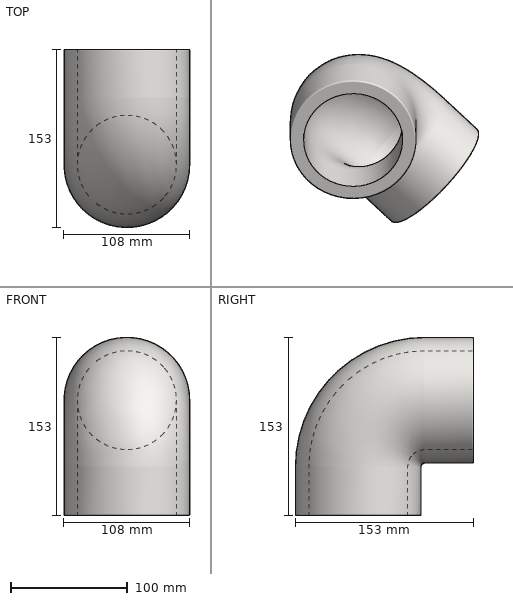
import cadquery as cq

overall = 153.0
outer_diameter = 108.0
bore_diameter = 84.9
end_length = 41.8
end_edge_break = 1.2

outer_radius = outer_diameter / 2
bend_radius = overall - end_length - outer_radius


def swept_elbow(diameter):
    """Solid round bar: straight up, 90 degree bend, then straight along +Y."""
    lower_leg = cq.Workplane("XY").circle(diameter / 2).extrude(end_length)
    bend = (
        cq.Workplane("XY", origin=(0, 0, end_length))
        .circle(diameter / 2)
        .revolve(90, (1.5, bend_radius, 0), (0, bend_radius, 0))
    )
    back_leg = (
        cq.Workplane("XZ", origin=(0, bend_radius, end_length + bend_radius))
        .circle(diameter / 2)
        .extrude(-end_length)
    )
    return lower_leg.union(bend).union(back_leg)


body = swept_elbow(outer_diameter)
body = body.faces("<Z").edges().fillet(end_edge_break)
body = body.faces(">Y").edges().fillet(end_edge_break)

result = body.cut(swept_elbow(bore_diameter))